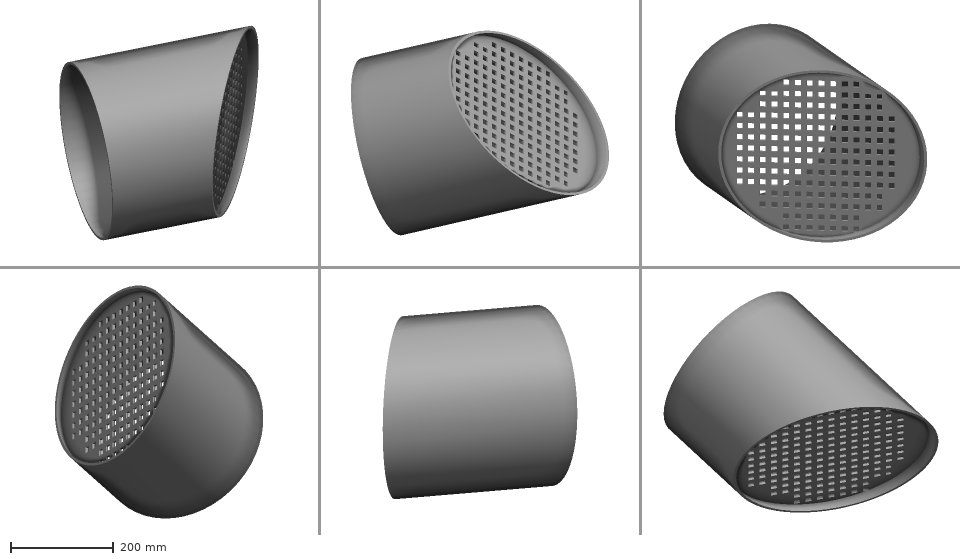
import cadquery as cq
import math

outer_diameter = 355.0
bore_diameter = 345.0
overall_length = 408.0
slant_angle = 30.0

screen_diameter = 350.0
screen_thickness = 5.0
screen_setback = 21.0

hole_size = 12.0
grid_count = 14
grid_span = 299.0
hole_pitch = grid_span / (grid_count - 1)

narrow_half = 80.0
middle_half = 124.8
wide_half = 160.0
field_rectangles = [
    (narrow_half, wide_half),
    (middle_half, middle_half),
    (wide_half, narrow_half),
]

slant = math.radians(slant_angle)
axis_length = overall_length - outer_diameter / 2 * math.tan(slant)
stock_length = 2 * overall_length


def slanted_plane(setback):
    """Plane parallel to the slanted end, set back from it along Y.

    Its local x runs down the slope, its local y is Z and its normal points inward.
    """
    return cq.Workplane(
        cq.Plane(
            origin=(0, axis_length - setback, 0),
            xDir=(math.cos(slant), -math.sin(slant), 0),
            normal=(-math.sin(slant), -math.cos(slant), 0),
        )
    )


def cylinder(diameter):
    """Round bar along Y that starts at the square end."""
    return cq.Workplane("XZ").circle(diameter / 2).extrude(-stock_length)


def make_screen_blank():
    """Slanted round plate without holes; it also cuts its own groove in the tube."""
    slab = slanted_plane(screen_setback).rect(stock_length, stock_length).extrude(screen_thickness)
    return cylinder(screen_diameter).intersect(slab)


def make_perforations():
    """Square hole cutters of the whole grid, kept only inside the stepped field."""
    screen_plane = slanted_plane(screen_setback)
    field = cq.Workplane()
    for half_width, half_height in field_rectangles:
        rectangle = screen_plane.rect(2 * half_width, 2 * half_height).extrude(screen_thickness)
        field = field.add(rectangle)

    grid_offset = (hole_pitch - hole_size) / 2
    grid = (
        screen_plane.center(grid_offset, -grid_offset)
        .rarray(hole_pitch, hole_pitch, grid_count, grid_count)
        .rect(hole_size, hole_size)
        .extrude(screen_thickness)
    )
    return grid.intersect(field.combine())


def make_tube():
    """Tube with a slanted end and a groove for the screen."""
    slanted_stock = slanted_plane(0).rect(stock_length, stock_length).extrude(stock_length)
    outside = cylinder(outer_diameter).intersect(slanted_stock)
    return outside.cut(cylinder(bore_diameter)).cut(make_screen_blank())


tube = make_tube()
screen = make_screen_blank().cut(make_perforations())

result = cq.Compound.makeCompound([tube.val(), screen.val()])